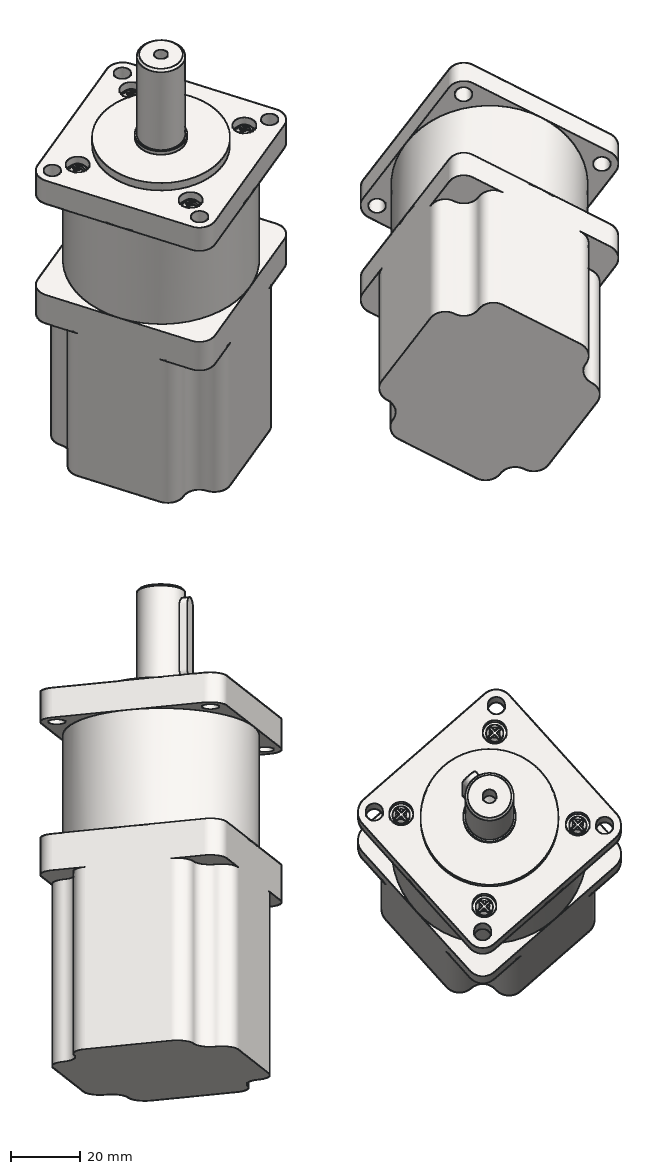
import cadquery as cq
import math


side = 57.0
half_side = side / 2
total_height = 145.0
corner_radius = 5.1

motor_top = 55.0
adapter_top = 66.0
flange_bottom = 101.0
flange_top = 110.0
pilot_top = 113.0
collar_top = 114.3

housing_diameter = side
pilot_diameter = 40.0
collar_diameter = 15.2
shaft_diameter = 14.0
shaft_chamfer = 0.7

center_hole_diameter = 4.0
center_hole_depth = 10.0
drill_point_angle = 118.0

key_width = 5.1
key_length = 25.0
key_bottom = 117.0
key_outer = 9.0
key_seat = 4.2

mount_offset = 23.6
mount_hole_diameter = 5.1
screw_offset = 18.1
counterbore_diameter = 7.0
counterbore_depth = 3.0
head_diameter = 5.1
head_height = 2.2
head_bevel = 1.0
cross_length = 4.2
cross_width = 0.9
cross_depth = 1.2


def square_plate(bottom, top):
    """Square plate with rounded vertical corners."""
    plate = cq.Workplane("XY").workplane(offset=bottom).rect(side, side).extrude(top - bottom)
    return plate.edges("|Z").fillet(corner_radius)


def cylinder(diameter, bottom, top):
    return cq.Workplane("XY").workplane(offset=bottom).circle(diameter / 2).extrude(top - bottom)


def corner_points(offset):
    """One point in each quadrant, equally far from both axes."""
    return [(x, y) for x in (-offset, offset) for y in (-offset, offset)]


def motor_body():
    """Square prism whose four corners are relieved by a convex, concave, convex run of quarter arcs."""
    radius = corner_radius
    lobe_end = half_side - 3 * radius
    valley_end = half_side - 2 * radius
    hollow_center = half_side - radius
    arc_mid_offset = radius * math.sqrt(0.5)

    body = cq.Workplane("XY").rect(side, side).extrude(motor_top)
    relief = (
        cq.Workplane("XY")
        .moveTo(half_side, lobe_end)
        .threePointArc(
            (hollow_center + arc_mid_offset, lobe_end + arc_mid_offset),
            (hollow_center, valley_end),
        )
        .threePointArc(
            (hollow_center - arc_mid_offset, hollow_center - arc_mid_offset),
            (valley_end, hollow_center),
        )
        .threePointArc(
            (lobe_end + arc_mid_offset, hollow_center + arc_mid_offset),
            (lobe_end, half_side),
        )
        .lineTo(half_side, half_side)
        .close()
        .extrude(motor_top)
    )
    for quarter in range(4):
        body = body.cut(relief.rotate((0, 0, 0), (0, 0, 1), 90 * quarter))
    return body


def output_shaft():
    """Chamfered shaft with a drilled centre hole in its end."""
    shaft = cylinder(shaft_diameter, pilot_top, total_height).faces(">Z").chamfer(shaft_chamfer)
    hole_radius = center_hole_diameter / 2
    hole_bottom = total_height - center_hole_depth
    point_depth = hole_radius / math.tan(math.radians(drill_point_angle / 2))
    drill = (
        cq.Workplane("XZ")
        .moveTo(0, total_height)
        .lineTo(hole_radius, total_height)
        .lineTo(hole_radius, hole_bottom)
        .lineTo(0, hole_bottom - point_depth)
        .close()
        .revolve(360, (0, 0, 0), (0, 1, 0))
    )
    return shaft.cut(drill)


def shaft_key():
    """Key standing along the shaft, its rounded ends facing up and down."""
    key_center_z = key_bottom + key_length / 2
    return (
        cq.Workplane("XZ", origin=(0, key_outer, key_center_z))
        .slot2D(key_length, key_width, 90)
        .extrude(key_outer - key_seat)
    )


def screw_head(x, y):
    """Bevelled screw head with a cross recess, sitting on the counterbore floor."""
    head = cylinder(head_diameter, 0, head_height).faces(">Z").chamfer(head_bevel)
    recess_plane = cq.Workplane("XY").workplane(offset=head_height - cross_depth)
    for arm_size in ((cross_length, cross_width), (cross_width, cross_length)):
        head = head.cut(recess_plane.rect(*arm_size).extrude(cross_depth))
    return head.translate((x, y, flange_top - counterbore_depth))


def front_flange():
    """Square flange with corner through holes and four counterbored screws."""
    flange = square_plate(flange_bottom, flange_top)
    mount_holes = (
        cq.Workplane("XY")
        .workplane(offset=flange_bottom)
        .pushPoints(corner_points(mount_offset))
        .circle(mount_hole_diameter / 2)
        .extrude(flange_top - flange_bottom)
    )
    counterbores = (
        cq.Workplane("XY")
        .workplane(offset=flange_top - counterbore_depth)
        .pushPoints(corner_points(screw_offset))
        .circle(counterbore_diameter / 2)
        .extrude(counterbore_depth)
    )
    flange = flange.cut(mount_holes).cut(counterbores)
    for x, y in corner_points(screw_offset):
        flange = flange.union(screw_head(x, y))
    return flange


gear_housing = cylinder(housing_diameter, adapter_top, flange_bottom)
pilot = cylinder(pilot_diameter, flange_top, pilot_top)
collar = cylinder(collar_diameter, pilot_top, collar_top)

result = (
    motor_body()
    .union(square_plate(motor_top, adapter_top))
    .union(gear_housing)
    .union(front_flange())
    .union(pilot)
    .union(collar)
    .union(output_shaft())
    .union(shaft_key())
)